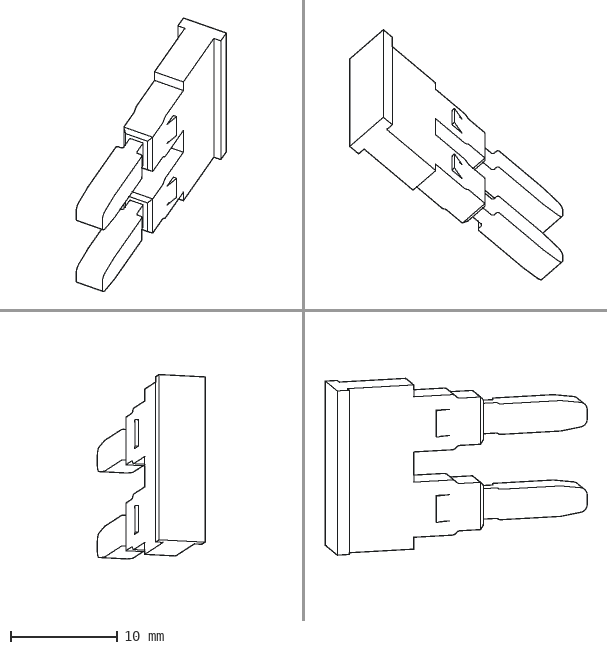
import cadquery as cq

total_length = 24.5
body_height = 15.8
body_width = 3.05
body_depth = 7.62
flange_width = 4.5
flange_thickness = 1.18
pin_pitch = 8.2

housing_height = 5.32
housing_tip_height = 4.55
housing_end = 14.48
housing_chamfer = 0.37
step_start = 11.32
step_end = 12.13

barb_start = 9.75
barb_length = 1.35
barb_height = 2.52
barb_projection = 0.35

pin_width = 2.75
pin_height = 2.95
neck_width = 1.4
shoulder_depth = 15.95
shoulder_radius = 0.22
taper_start = 21.93
tip_height = 2.18
tip_radius = 0.74


def block(width, height, start, end):
    """Box centred on X and Z, spanning the given depths behind Y = 0."""
    length = end - start
    return cq.Workplane("XY").box(width, length, height).translate((0, -(start + end) / 2, 0))


def make_housing():
    """Stepped housing whose height changes through a smooth pair of arcs."""
    half_height = housing_height / 2
    half_tip = housing_tip_height / 2
    step_middle = (step_start + step_end) / 2
    middle_height = (half_height + half_tip) / 2
    profile = (
        cq.Workplane("YZ")
        .moveTo(0, -half_height)
        .lineTo(0, half_height)
        .lineTo(-step_start, half_height)
        .tangentArcPoint((-step_middle, middle_height), relative=False)
        .tangentArcPoint((-step_end, half_tip), relative=False)
        .lineTo(-housing_end, half_tip)
        .lineTo(-housing_end, -half_tip)
        .lineTo(-step_end, -half_tip)
        .tangentArcPoint((-step_middle, -middle_height), relative=False)
        .tangentArcPoint((-step_start, -half_height), relative=False)
        .close()
    )
    housing = profile.extrude(body_width / 2, both=True)
    return housing.faces("<Y").chamfer(housing_chamfer)


def make_barbs():
    """Pair of wedges, tallest at the back and flush with the housing at the front."""
    half_body = body_width / 2
    half_barb = half_body + barb_projection
    barb_end = barb_start + barb_length
    outline = [
        (-half_barb, -barb_start),
        (half_barb, -barb_start),
        (half_body, -barb_end),
        (-half_body, -barb_end),
    ]
    return cq.Workplane("XY").polyline(outline).close().extrude(barb_height / 2, both=True)


def make_pin():
    """Necked flat pin with rounded shoulders and a tapered, rounded tip."""
    neck = block(neck_width, pin_height, 0, shoulder_depth)
    blade = block(pin_width, pin_height, shoulder_depth, total_length)
    blade = blade.faces(">Y").edges("|Z").fillet(shoulder_radius)
    pin = neck.union(blade)
    half_neck = neck_width / 2
    for side in (-1, 1):
        corner = cq.selectors.NearestToPointSelector((side * half_neck, -shoulder_depth, 0))
        pin = pin.edges("|Z").edges(corner).fillet(shoulder_radius)

    half_height = pin_height / 2
    half_tip = tip_height / 2
    side_outline = [
        (0, half_height),
        (-taper_start, half_height),
        (-total_length, half_tip),
        (-total_length, -half_tip),
        (-taper_start, -half_height),
        (0, -half_height),
    ]
    envelope = cq.Workplane("YZ").polyline(side_outline).close().extrude(pin_width, both=True)
    envelope = envelope.faces("<Y").edges("|X").fillet(tip_radius)
    return pin.intersect(envelope)


body = block(body_width, body_height, 0, body_depth)
flange = block(flange_width, body_height, 0, flange_thickness)
plug = make_housing().union(make_barbs()).union(make_pin())

result = body.union(flange)
for side in (-1, 1):
    result = result.union(plug.translate((0, 0, side * pin_pitch / 2)))